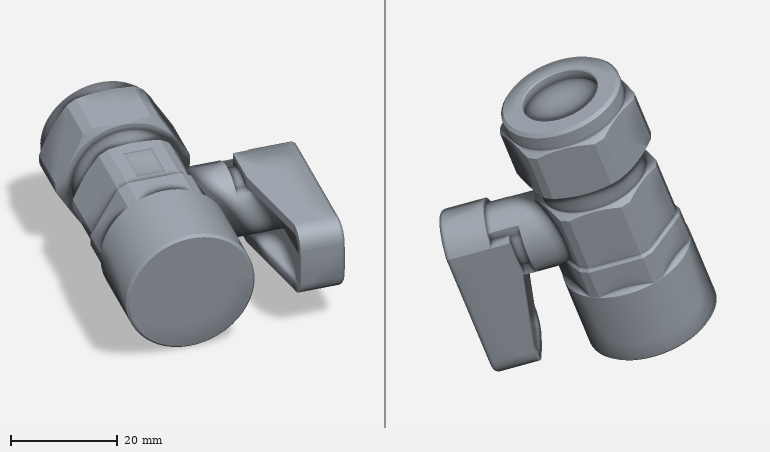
import cadquery as cq
import math


COLLAR_RADIUS = 11.85
COLLAR_CHAMFER = 0.6
NUT_START = 3.6
NUT_END = 15.2
NUT_APOTHEM = 12.05
NUT_CORNER_REACH = 13.35
NUT_TURN = 1.6
SOCKET_RADIUS = 7.45
SOCKET_DEPTH = 2.15
SOCKET_CHAMFER = 0.2

NECK_RADIUS = 10.45
BODY_START = 20.1
BODY_APOTHEM = 11.0
BODY_CORNER_REACH = 12.1
STEP_START = 32.55
STEP_END = 33.1
LARGE_APOTHEM = 11.5
LARGE_CORNER_REACH = 12.7

ROUND_END_DIAMETER = 25.5
ROUND_END_RADIUS = ROUND_END_DIAMETER / 2
ROUND_END_START = 39.3
ROUND_END_CHAMFER = 0.5
LENGTH = 55.1

CONE_SLOPE = math.tan(math.radians(30))
CONE_CLEARANCE = 0.55
BODY_CONE_FOOT_RADIUS = 10.8

PANEL_CENTRE_X = 27.1
PANEL_LENGTH = 8.1
PANEL_WIDTH = 5.55
PANEL_DEPTH = 0.1

STEM_X = 28.6
STEM_RADIUS = 7.5
STEM_TOP = 15.9

HANDLE_TOP = 30.95
HANDLE_RIM = 22.0
HANDLE_LOW = 18.4
HANDLE_HALF_WIDTH = STEM_RADIUS
HANDLE_BACK_RADIUS = 8.5
HANDLE_REACH = 26.0
HANDLE_CORNER_RADIUS = 4.1
HANDLE_TOP_FILLET = 1.0
SLOPE_START = 4.25
CAVITY_HALF_WIDTH = 4.9
CAVITY_REACH = 24.0
CAVITY_CORNER_RADIUS = 2.05
CAVITY_FLOOR = 25.3
CAVITY_LIP_FILLET = 0.7
HUB_RADIUS = 5.95
PICK_MARGIN = 0.05


def truncated_hexagon(plane, apothem, corner_reach):
    """Draw a hexagon of the given apothem with its corners cut off flat at corner_reach."""
    half_cut = (apothem - corner_reach * math.cos(math.radians(30))) / math.sin(math.radians(30))
    radius = math.hypot(corner_reach, half_cut)
    half_angle = math.atan2(half_cut, corner_reach)
    points = []
    for corner in range(6):
        for side in (-1, 1):
            angle = math.radians(60 * corner) + side * half_angle
            points.append((radius * math.cos(angle), radius * math.sin(angle)))
    return plane.polyline(points).close()


def hexagon_prism(apothem, corner_reach, start, end):
    """Prism along X with two corners on the Y axis, every corner cut off flat."""
    plane = cq.Workplane("YZ").workplane(offset=start)
    return truncated_hexagon(plane, apothem, corner_reach).extrude(end - start)


def turned(profile):
    """Revolve an (x, radius) profile about the bore axis."""
    return cq.Workplane("XY").polyline(profile).close().revolve(360, (0, 0, 0), (1, 0, 0))


def cylinder_along_x(radius, start, end):
    return cq.Workplane("YZ").workplane(offset=start).circle(radius).extrude(end - start)


def make_nut():
    """Compression nut with coned ends and a chamfered collar."""
    collar = cylinder_along_x(COLLAR_RADIUS, 0, NUT_START).faces("<X").chamfer(COLLAR_CHAMFER)
    cone_top = NUT_CORNER_REACH + CONE_CLEARANCE
    cone_length = (cone_top - COLLAR_RADIUS) * CONE_SLOPE
    envelope = turned([
        (NUT_START, 0),
        (NUT_START, COLLAR_RADIUS),
        (NUT_START + cone_length, cone_top),
        (NUT_END - cone_length, cone_top),
        (NUT_END, COLLAR_RADIUS),
        (NUT_END, 0),
    ])
    hexagon = hexagon_prism(NUT_APOTHEM, NUT_CORNER_REACH, NUT_START, NUT_END).intersect(envelope)
    socket = cylinder_along_x(SOCKET_RADIUS, 0, SOCKET_DEPTH)
    nut = collar.union(hexagon).cut(socket)
    nut = nut.faces("<X").edges(cq.selectors.RadiusNthSelector(0)).chamfer(SOCKET_CHAMFER)
    return nut.rotate((0, 0, 0), (1, 0, 0), NUT_TURN)


def make_body_hexagon():
    """Small and large hexagons joined by a tapered step, with a coned front end."""
    small = hexagon_prism(BODY_APOTHEM, BODY_CORNER_REACH, BODY_START, STEP_START)
    cone_top = BODY_CORNER_REACH + CONE_CLEARANCE
    envelope = turned([
        (BODY_START, 0),
        (BODY_START, BODY_CONE_FOOT_RADIUS),
        (BODY_START + (cone_top - BODY_CONE_FOOT_RADIUS) * CONE_SLOPE, cone_top),
        (STEP_START, cone_top),
        (STEP_START, 0),
    ])
    step = truncated_hexagon(
        cq.Workplane("YZ").workplane(offset=STEP_START), BODY_APOTHEM, BODY_CORNER_REACH)
    step = truncated_hexagon(
        step.workplane(offset=STEP_END - STEP_START), LARGE_APOTHEM, LARGE_CORNER_REACH).loft(ruled=True)
    large = hexagon_prism(LARGE_APOTHEM, LARGE_CORNER_REACH, STEP_END, ROUND_END_START)
    return small.intersect(envelope).union(step).union(large)


def make_round_end():
    """Round end with a cone that runs down onto the large hexagon."""
    cone_length = (ROUND_END_RADIUS - LARGE_APOTHEM) * CONE_SLOPE
    return turned([
        (ROUND_END_START - cone_length, 0),
        (ROUND_END_START - cone_length, LARGE_APOTHEM),
        (ROUND_END_START, ROUND_END_RADIUS),
        (LENGTH - ROUND_END_CHAMFER, ROUND_END_RADIUS),
        (LENGTH, ROUND_END_RADIUS - ROUND_END_CHAMFER),
        (LENGTH, 0),
    ])


def plane_across_stem(height):
    """Work plane across the stem axis at the given Y, its local x along X."""
    return cq.Workplane(cq.Plane(origin=(STEM_X, height, 0), xDir=(1, 0, 0), normal=(0, 1, 0)))


def make_valve():
    """Nut, neck, hexagons, round end and stem boss as one solid."""
    neck = cylinder_along_x(NECK_RADIUS, NUT_END, BODY_START)
    stem_boss = plane_across_stem(0).circle(STEM_RADIUS).extrude(STEM_TOP)
    panel = cq.Workplane("XY").box(PANEL_LENGTH, PANEL_WIDTH, 2 * PANEL_DEPTH)
    panel = panel.translate((PANEL_CENTRE_X, 0, BODY_APOTHEM))
    valve = make_nut().union(neck).union(make_body_hexagon())
    return valve.union(make_round_end()).union(stem_boss).cut(panel)


def corner_centre_x(half_width, reach, corner_radius):
    """Distance from the stem axis to the centre of a far corner arc."""
    return math.sqrt((reach - corner_radius) ** 2 - (half_width - corner_radius) ** 2)


def lever_end(plane, back_x, half_width, reach, corner_radius):
    """Draw the open outline of straight sides from back_x, rounded corners and an arched far end."""
    corner_z = half_width - corner_radius
    corner_x = corner_centre_x(half_width, reach, corner_radius)
    tangent_angle = math.atan2(corner_z, corner_x)
    tangent_x = reach * math.cos(tangent_angle)
    tangent_z = reach * math.sin(tangent_angle)
    middle_angle = (tangent_angle + math.pi / 2) / 2
    middle_x = corner_x + corner_radius * math.cos(middle_angle)
    middle_z = corner_z + corner_radius * math.sin(middle_angle)
    return (
        plane.moveTo(back_x, -half_width)
        .lineTo(corner_x, -half_width)
        .threePointArc((middle_x, -middle_z), (tangent_x, -tangent_z))
        .threePointArc((reach, 0), (tangent_x, tangent_z))
        .threePointArc((middle_x, middle_z), (corner_x, half_width))
        .lineTo(back_x, half_width)
    )


def make_handle():
    """Lever handle, hollow underneath, with a flatted hub that sits on the stem boss."""
    back_x = -math.sqrt(HANDLE_BACK_RADIUS ** 2 - HANDLE_HALF_WIDTH ** 2)
    slope_end = corner_centre_x(HANDLE_HALF_WIDTH, HANDLE_REACH, HANDLE_CORNER_RADIUS)

    outline = lever_end(
        plane_across_stem(HANDLE_LOW), back_x, HANDLE_HALF_WIDTH, HANDLE_REACH, HANDLE_CORNER_RADIUS)
    outline = outline.threePointArc((-HANDLE_BACK_RADIUS, 0), (back_x, -HANDLE_HALF_WIDTH)).close()
    lever = outline.extrude(HANDLE_TOP - HANDLE_LOW).faces(">Y").edges().fillet(HANDLE_TOP_FILLET)

    side_profile = (
        cq.Workplane("XY", origin=(STEM_X, 0, 0))
        .moveTo(-HANDLE_REACH, HANDLE_RIM)
        .lineTo(back_x, HANDLE_RIM)
        .lineTo(back_x, HANDLE_LOW)
        .lineTo(SLOPE_START, HANDLE_LOW)
        .lineTo(slope_end, HANDLE_RIM)
        .lineTo(HANDLE_REACH, HANDLE_RIM)
        .lineTo(HANDLE_REACH, HANDLE_TOP)
        .lineTo(-HANDLE_REACH, HANDLE_TOP)
        .close()
        .extrude(HANDLE_HALF_WIDTH, both=True)
    )
    lever = lever.intersect(side_profile)

    cavity = lever_end(
        plane_across_stem(HANDLE_LOW), 0, CAVITY_HALF_WIDTH, CAVITY_REACH, CAVITY_CORNER_RADIUS)
    cavity = cavity.close().extrude(CAVITY_FLOOR - HANDLE_LOW)
    lever = lever.cut(cavity)
    mouth = cq.selectors.BoxSelector(
        (STEM_X + SLOPE_START, HANDLE_LOW, -CAVITY_HALF_WIDTH - PICK_MARGIN),
        (STEM_X + CAVITY_REACH + PICK_MARGIN, HANDLE_RIM + PICK_MARGIN, CAVITY_HALF_WIDTH + PICK_MARGIN))
    lever = lever.edges(mouth).fillet(CAVITY_LIP_FILLET)

    hub_height = CAVITY_FLOOR - STEM_TOP
    flats = plane_across_stem(STEM_TOP).rect(2 * STEM_RADIUS, 2 * CAVITY_HALF_WIDTH).extrude(hub_height)
    stops = plane_across_stem(STEM_TOP).circle(STEM_RADIUS).extrude(hub_height).intersect(flats)
    core = plane_across_stem(STEM_TOP).circle(HUB_RADIUS).extrude(hub_height)
    return lever.union(stops).union(core)


valve = make_valve()
handle = make_handle()
result = cq.Compound.makeCompound([valve.val(), handle.val()])